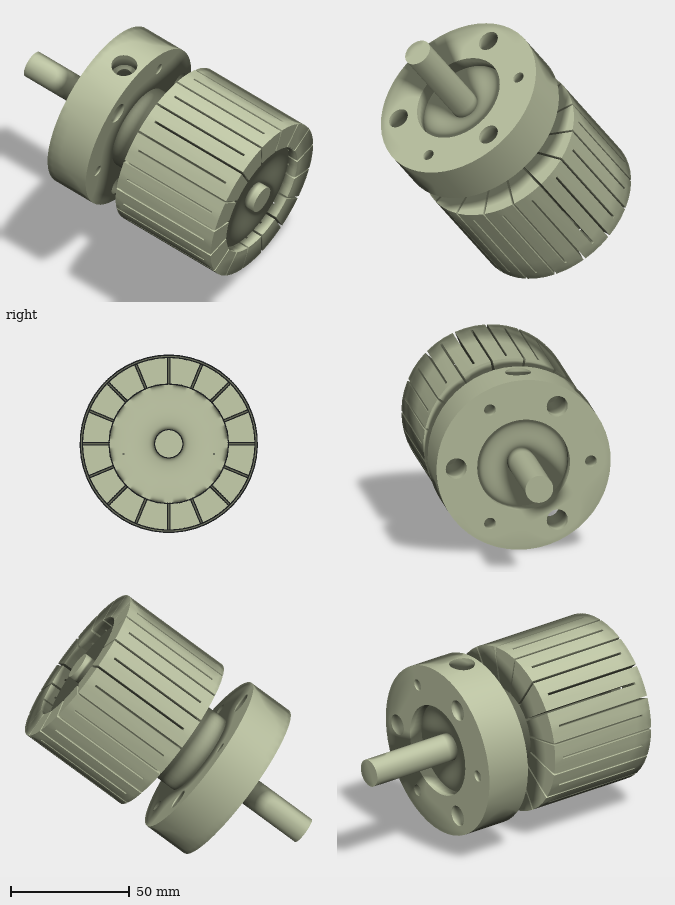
import cadquery as cq

overall_length = 120.8
sleeve_length = 50.0
neck_length = 15.0
flange_thickness = 20.0
sleeve_start = overall_length - sleeve_length
flange_back = sleeve_start - neck_length
flange_face = flange_back - flange_thickness

cone_length = 5.0
head_length = 5.0
head_setback = 4.7
core_start = sleeve_start + cone_length
head_end = overall_length - head_setback
head_start = head_end - head_length
core_end = head_start - cone_length

flange_radius = 75.0 / 2
neck_radius = 37.0 / 2
recess_radius = 40.0 / 2
sleeve_radius = 73.0 / 2
shaft_radius = 12.0 / 2
head_radius = 25.2
cone_rise = 1.6
core_radius = neck_radius - cone_rise
core_tip_radius = core_radius - cone_rise

recess_depth = 6.0
bolt_circle_radius = 29.0
holes_per_ring = 3
large_hole_diameter = 9.0
large_hole_angle = 0
small_hole_diameter = 5.0
small_hole_angle = 180

port_offset = 12.7
port_diameter = 6.5
port_counterbore_diameter = 11.0
port_counterbore_depth = 7.0

slots_per_end = 16
slot_pitch = 360 / slots_per_end
slot_width = 1.0
slot_end_wall = 4.0
slot_length = sleeve_length - slot_end_wall
slot_cutter_height = 1.1 * sleeve_radius


def revolved(outline):
    """Solid of revolution about X from (x, radius) points."""
    return cq.Workplane("XZ").polyline(outline).close().revolve(360, (0, 0, 0), (1, 0, 0))


def hole_ring(diameter, first_angle):
    """Cutters parallel to X, right through the flange on the bolt circle."""
    return (
        cq.Workplane("YZ", origin=(flange_face, 0, 0))
        .polarArray(bolt_circle_radius, first_angle, 360, holes_per_ring)
        .circle(diameter / 2)
        .extrude(flange_thickness)
    )


def port_bore(diameter, floor_height):
    """Vertical cutter from a floor height out through the rim of the flange."""
    return (
        cq.Workplane("XY", origin=(flange_face + port_offset, 0, floor_height))
        .circle(diameter / 2)
        .extrude(flange_radius - floor_height)
    )


def make_housing():
    """Flange, neck and core, bored for the shaft and recessed at the flange face."""
    body = revolved(
        [
            (flange_face + recess_depth, shaft_radius),
            (flange_face + recess_depth, recess_radius),
            (flange_face, recess_radius),
            (flange_face, flange_radius),
            (flange_back, flange_radius),
            (flange_back, neck_radius),
            (sleeve_start, neck_radius),
            (core_start, core_radius),
            (core_end, core_radius),
            (head_start, core_tip_radius),
            (head_start, shaft_radius),
        ]
    )
    body = body.cut(hole_ring(large_hole_diameter, large_hole_angle))
    body = body.cut(hole_ring(small_hole_diameter, small_hole_angle))
    body = body.cut(port_bore(port_diameter, 0))
    return body.cut(port_bore(port_counterbore_diameter, flange_radius - port_counterbore_depth))


def make_arbor():
    """Full-length shaft with a disc head beyond the core."""
    return revolved(
        [
            (0, 0),
            (0, shaft_radius),
            (head_start, shaft_radius),
            (head_start, head_radius),
            (head_end, head_radius),
            (head_end, shaft_radius),
            (overall_length, shaft_radius),
            (overall_length, 0),
        ]
    )


def slot_cutters(start, first_angle):
    """Radial slot cutters from one X station; angles run about X from +Z."""
    cutter = cq.Workplane("XY", origin=(start, 0, 0)).box(
        slot_length, slot_width, slot_cutter_height, centered=(False, True, False)
    )
    return [
        cutter.rotate((0, 0, 0), (1, 0, 0), first_angle + i * slot_pitch)
        for i in range(slots_per_end)
    ]


def make_sleeve():
    """Sleeve around the core and the head, slit from both ends by alternating slots."""
    body = revolved(
        [
            (sleeve_start, neck_radius),
            (sleeve_start, sleeve_radius),
            (overall_length, sleeve_radius),
            (overall_length, head_radius),
            (head_start, head_radius),
            (head_start, core_radius),
            (core_start, core_radius),
        ]
    )
    far_slots = slot_cutters(sleeve_start + slot_end_wall, 0)
    near_slots = slot_cutters(sleeve_start, slot_pitch / 2)
    for cutter in far_slots + near_slots:
        body = body.cut(cutter)
    return body


housing = make_housing()
arbor = make_arbor()
sleeve = make_sleeve()

result = cq.Compound.makeCompound([housing.val(), arbor.val(), sleeve.val()])